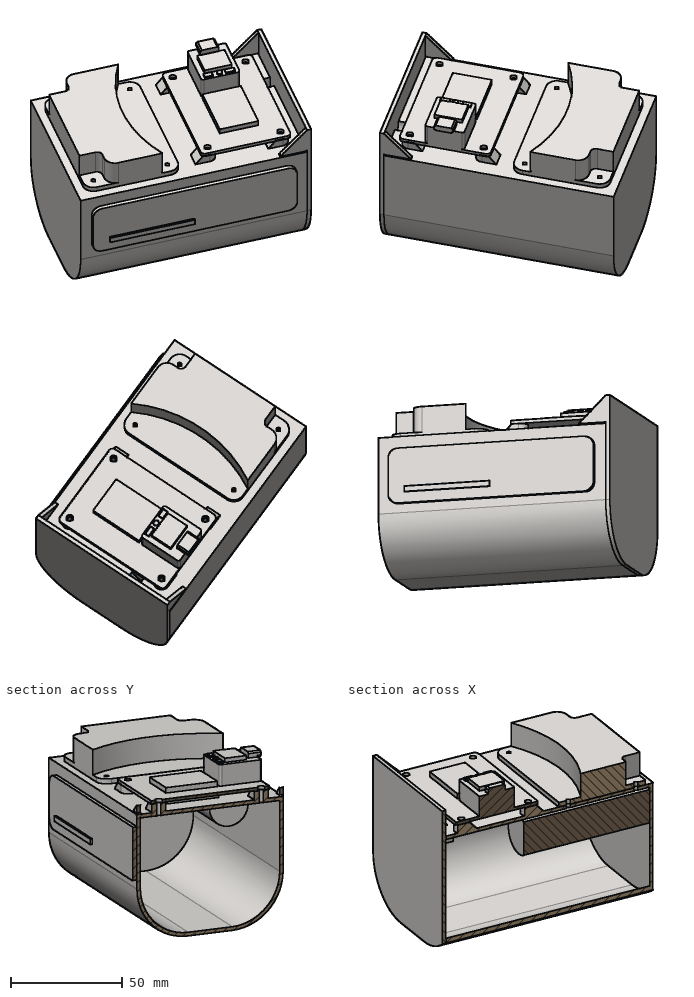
import cadquery as cq
import math


HOUSING_WIDTH = 72.0
HOUSING_LENGTH = 107.0
HOUSING_HEIGHT = 60.0
BOTTOM_RADIUS = 25.2
WALL = 2.0
SCREW_HOLE_DIAMETER = 1.9

CHANNEL_RADIUS = 6.1
CHANNEL_INSET = 18.5
CHANNEL_LEFT_X = CHANNEL_INSET - HOUSING_WIDTH / 2
CHANNEL_LENGTH = CHANNEL_RADIUS

LID_THICKNESS = WALL
LID_HEIGHT = 73.0
GUSSET_THICKNESS = WALL
GUSSET_RUN = 12.7
GUSSET_GAP = 0.7

BOARD_WIDTH = 58.1
BOARD_DEPTH = 42.4
BOARD_THICKNESS = 1.6
BOARD_CENTER_Y = 80.7
BOARD_CORNER_RADIUS = 2.0
BOARD_HOLE_DIAMETER = 3.0
BOARD_HOLE_SPACING_X = 50.2
BOARD_HOLE_SPACING_Y = 34.4
POST_HEIGHT = 4.0
POST_RADIUS = 3.5
POST_FOOT_REACH = 6.9
POST_TOP_REACH = 3.3
BOARD_Z = HOUSING_HEIGHT + POST_HEIGHT
BOARD_TOP_Z = BOARD_Z + BOARD_THICKNESS
BOARD_LEFT_X = -BOARD_WIDTH / 2

MODULE_LENGTH = 20.8
MODULE_DEPTH = 18.2
MODULE_HEIGHT = 10.0
MODULE_CORNER_RADIUS = 1.1
MODULE_TOP_Z = BOARD_TOP_Z + MODULE_HEIGHT
SOCKET_LENGTH = 6.2
SOCKET_WIDTH = 8.8
SOCKET_HEIGHT = 2.8
SOCKET_CHAMFER = 0.8
SOCKET_OVERHANG = 1.6
CHIP_LENGTH = 10.6
CHIP_WIDTH = 12.9
CHIP_HEIGHT = 2.0
CHIP_OFFSET_X = 6.4
SMALL_PART_HEIGHT = 0.8
SMALL_PART_RIGHT_X = 20.0
REAR_SMALL_PART_SIZE = (2.1, 4.4)
REAR_SMALL_PART_OFFSET_Y = 4.9
FRONT_SMALL_PART_SIZE = (2.4, 3.9)
FRONT_SMALL_PART_OFFSET_Y = -5.3
BUTTON_DIAMETER = 2.5
BUTTON_OFFSET_X = 18.8
DISPLAY_LENGTH = 25.2
DISPLAY_HEIGHT = 2.5
DISPLAY_OFFSET_X = 21.9
HEADER_LENGTH = DISPLAY_LENGTH
HEADER_DEPTH = 21.1
HEADER_HEIGHT = 3.0

COVER_WIDTH = 63.8
COVER_DEPTH = 44.8
COVER_HEIGHT = 14.0
COVER_FRONT_Y = 4.0
COVER_BASE_THICKNESS = 2.3
COVER_CORNER_RADIUS = 5.0
COVER_HOLE_INSET = 4.9
COVER_NOTCH = 10.0
NOTCH_INNER_RADIUS = 2.5
COVER_SIDE_DEPTH = 36.0
COVER_MIDDLE_DEPTH = 27.6

PLATE_LENGTH = 96.5
PLATE_HEIGHT = 25.2
PLATE_THICKNESS = 2.0
PLATE_FRONT_Y = 5.2
PLATE_BOTTOM_Z = 29.2
PLATE_CORNER_RADIUS = 4.4
STRIP_LENGTH = 40.1
STRIP_HEIGHT = 2.5
STRIP_THICKNESS = 1.0
STRIP_FRONT_Y = 13.1
STRIP_BOTTOM_Z = 34.1

CELL_DIAMETER = 19.0
CELL_LENGTH = 65.0
CELL_LEFT_GAP = 1.7


def block(x_min, y_min, z_min, length, depth, height):
    """Box given by its lowest corner and its sizes along X, Y and Z."""
    return cq.Workplane("XY").box(length, depth, height, centered=False).translate((x_min, y_min, z_min))


def hole_grid(center_y, spacing_x, spacing_y):
    """Corners of a rectangle that is centred on X = 0."""
    return [
        (side_x * spacing_x / 2, center_y + side_y * spacing_y / 2)
        for side_x in (-1, 1)
        for side_y in (-1, 1)
    ]


BOARD_HOLES = hole_grid(BOARD_CENTER_Y, BOARD_HOLE_SPACING_X, BOARD_HOLE_SPACING_Y)
COVER_CENTER_Y = COVER_FRONT_Y + COVER_DEPTH / 2
COVER_HOLES = hole_grid(
    COVER_CENTER_Y, COVER_WIDTH - 2 * COVER_HOLE_INSET, COVER_DEPTH - 2 * COVER_HOLE_INSET
)


def vertical_cylinders(points, diameter, z_min, height):
    """Upright cylinders of one size, one at each point."""
    return cq.Workplane("XY").workplane(offset=z_min).pushPoints(points).circle(diameter / 2).extrude(height)


def rounded_bottom_body(width, z_min, z_max, radius, y_min, length):
    """Box along Y whose two lower long edges are rounded."""
    body = block(-width / 2, y_min, z_min, width, length, z_max - z_min)
    return body.edges("|Y and <Z").fillet(radius)


def board_post(x, y):
    """Post with a round rear half and a sloped foot toward the front."""
    round_part = vertical_cylinders([(x, y)], POST_RADIUS * 2, HOUSING_HEIGHT, POST_HEIGHT)
    foot = (
        cq.Workplane("YZ", origin=(x - POST_RADIUS, y, HOUSING_HEIGHT))
        .polyline([(0, 0), (-POST_FOOT_REACH, 0), (-POST_TOP_REACH, POST_HEIGHT), (0, POST_HEIGHT)])
        .close()
        .extrude(2 * POST_RADIUS)
    )
    return round_part.union(foot)


def cable_channel():
    """Quarter cylinder along Y, flat on the left and on top."""
    start = (CHANNEL_LEFT_X, HOUSING_LENGTH, HOUSING_HEIGHT)
    diagonal = CHANNEL_RADIUS * math.sqrt(0.5)
    return (
        cq.Workplane("XZ", origin=start)
        .lineTo(CHANNEL_RADIUS, 0)
        .threePointArc((diagonal, -diagonal), (0, -CHANNEL_RADIUS))
        .close()
        .extrude(CHANNEL_LENGTH)
    )


def make_housing():
    shell = rounded_bottom_body(HOUSING_WIDTH, 0, HOUSING_HEIGHT, BOTTOM_RADIUS, 0, HOUSING_LENGTH)
    cavity = rounded_bottom_body(
        HOUSING_WIDTH - 2 * WALL,
        WALL,
        HOUSING_HEIGHT - WALL,
        BOTTOM_RADIUS - WALL,
        WALL,
        HOUSING_LENGTH - WALL,
    )
    channel_bed = block(
        CHANNEL_LEFT_X - WALL,
        HOUSING_LENGTH - CHANNEL_LENGTH - WALL,
        HOUSING_HEIGHT - CHANNEL_RADIUS - WALL,
        CHANNEL_RADIUS + 2 * WALL,
        CHANNEL_LENGTH + WALL,
        CHANNEL_RADIUS + WALL,
    )
    body = shell.cut(cavity).union(channel_bed).cut(cable_channel())
    for x, y in BOARD_HOLES:
        body = body.union(board_post(x, y))
    screw_holes = vertical_cylinders(
        BOARD_HOLES + COVER_HOLES, SCREW_HOLE_DIAMETER, HOUSING_HEIGHT - WALL, WALL + POST_HEIGHT
    )
    return body.cut(screw_holes)


def make_lid():
    lid = rounded_bottom_body(HOUSING_WIDTH, 0, LID_HEIGHT, BOTTOM_RADIUS, HOUSING_LENGTH, LID_THICKNESS)
    gusset_bottom = HOUSING_HEIGHT + GUSSET_GAP
    for left_x in (-HOUSING_WIDTH / 2, HOUSING_WIDTH / 2 - GUSSET_THICKNESS):
        gusset = (
            cq.Workplane("YZ", origin=(left_x, HOUSING_LENGTH, 0))
            .polyline([(0, gusset_bottom), (-GUSSET_RUN, gusset_bottom), (0, LID_HEIGHT)])
            .close()
            .extrude(GUSSET_THICKNESS)
        )
        lid = lid.union(gusset)
    return lid


def socket():
    """Connector shell with chamfered long edges, square below where it sits on the module."""
    left_x = BOARD_LEFT_X - SOCKET_OVERHANG
    front_y = BOARD_CENTER_Y - SOCKET_WIDTH / 2
    shell = block(left_x, front_y, MODULE_TOP_Z, SOCKET_LENGTH, SOCKET_WIDTH, SOCKET_HEIGHT)
    shell = shell.edges("|X").chamfer(SOCKET_CHAMFER)
    seat = block(
        BOARD_LEFT_X,
        front_y,
        MODULE_TOP_Z,
        SOCKET_LENGTH - SOCKET_OVERHANG,
        SOCKET_WIDTH,
        SOCKET_HEIGHT / 2,
    )
    return shell.union(seat)


def board_part(offset_x, z_min, length, depth, height, offset_y=0):
    """Box on the board, placed by its left edge and by its middle in Y."""
    return block(
        BOARD_LEFT_X + offset_x, BOARD_CENTER_Y + offset_y - depth / 2, z_min, length, depth, height
    )


def small_module_part(size, offset_y):
    length, depth = size
    return board_part(SMALL_PART_RIGHT_X - length, MODULE_TOP_Z, length, depth, SMALL_PART_HEIGHT, offset_y)


def make_controller():
    board = board_part(0, BOARD_Z, BOARD_WIDTH, BOARD_DEPTH, BOARD_THICKNESS)
    board = board.edges("|Z").fillet(BOARD_CORNER_RADIUS)
    board = board.cut(vertical_cylinders(BOARD_HOLES, BOARD_HOLE_DIAMETER, BOARD_Z, BOARD_THICKNESS))

    module = board_part(0, BOARD_TOP_Z, MODULE_LENGTH, MODULE_DEPTH, MODULE_HEIGHT)
    module = module.edges("|Z").fillet(MODULE_CORNER_RADIUS)
    chip = board_part(CHIP_OFFSET_X, MODULE_TOP_Z, CHIP_LENGTH, CHIP_WIDTH, CHIP_HEIGHT)
    rear_part = small_module_part(REAR_SMALL_PART_SIZE, REAR_SMALL_PART_OFFSET_Y)
    front_part = small_module_part(FRONT_SMALL_PART_SIZE, FRONT_SMALL_PART_OFFSET_Y)
    button_center = (BOARD_LEFT_X + BUTTON_OFFSET_X, BOARD_CENTER_Y)
    button = vertical_cylinders([button_center], BUTTON_DIAMETER, MODULE_TOP_Z, SMALL_PART_HEIGHT)

    display = board_part(DISPLAY_OFFSET_X, BOARD_TOP_Z, DISPLAY_LENGTH, MODULE_DEPTH, DISPLAY_HEIGHT)
    header = board_part(
        DISPLAY_OFFSET_X, BOARD_Z - HEADER_HEIGHT, HEADER_LENGTH, HEADER_DEPTH, HEADER_HEIGHT
    )
    for piece in (module, socket(), chip, rear_part, front_part, button, display, header):
        board = board.union(piece)
    return board.clean()


def corner_notch(side):
    """Cut at a front corner of the cover: round inner corner, rounded entry from the side."""
    edge_x = side * COVER_WIDTH / 2
    inner_x = edge_x - side * COVER_NOTCH
    notch_y = COVER_FRONT_Y + COVER_NOTCH
    entry = COVER_CORNER_RADIUS
    entry_mid = COVER_CORNER_RADIUS * (1 - math.sqrt(0.5))
    inner_mid = NOTCH_INNER_RADIUS * (1 - math.sqrt(0.5))
    return (
        cq.Workplane("XY", origin=(0, 0, HOUSING_HEIGHT + COVER_BASE_THICKNESS))
        .moveTo(edge_x, COVER_FRONT_Y)
        .lineTo(edge_x, notch_y + entry)
        .threePointArc((edge_x - side * entry_mid, notch_y + entry_mid), (edge_x - side * entry, notch_y))
        .lineTo(inner_x + side * NOTCH_INNER_RADIUS, notch_y)
        .threePointArc(
            (inner_x + side * inner_mid, notch_y - inner_mid), (inner_x, notch_y - NOTCH_INNER_RADIUS)
        )
        .lineTo(inner_x, COVER_FRONT_Y)
        .close()
        .extrude(COVER_HEIGHT)
    )


def make_cover():
    half_width = COVER_WIDTH / 2
    side_end_y = COVER_FRONT_Y + COVER_SIDE_DEPTH
    middle_end_y = COVER_FRONT_Y + COVER_MIDDLE_DEPTH
    base = block(-half_width, COVER_FRONT_Y, HOUSING_HEIGHT, COVER_WIDTH, COVER_DEPTH, COVER_BASE_THICKNESS)
    base = base.edges("|Z").fillet(COVER_CORNER_RADIUS)
    raised = (
        cq.Workplane("XY", origin=(0, 0, HOUSING_HEIGHT + COVER_BASE_THICKNESS))
        .moveTo(-half_width, COVER_FRONT_Y)
        .lineTo(half_width, COVER_FRONT_Y)
        .lineTo(half_width, side_end_y)
        .threePointArc((0, middle_end_y), (-half_width, side_end_y))
        .close()
        .extrude(COVER_HEIGHT - COVER_BASE_THICKNESS)
    )
    for side in (-1, 1):
        raised = raised.cut(corner_notch(side))
    holes = vertical_cylinders(COVER_HOLES, SCREW_HOLE_DIAMETER, HOUSING_HEIGHT, COVER_BASE_THICKNESS)
    return base.union(raised).cut(holes)


def make_name_plate():
    left_x = HOUSING_WIDTH / 2
    plate = block(left_x, PLATE_FRONT_Y, PLATE_BOTTOM_Z, PLATE_THICKNESS, PLATE_LENGTH, PLATE_HEIGHT)
    plate = plate.edges("|X").fillet(PLATE_CORNER_RADIUS)
    strip = block(
        left_x + PLATE_THICKNESS, STRIP_FRONT_Y, STRIP_BOTTOM_Z, STRIP_THICKNESS, STRIP_LENGTH, STRIP_HEIGHT
    )
    return plate.union(strip)


def make_cell():
    radius = CELL_DIAMETER / 2
    center_x = -HOUSING_WIDTH / 2 + WALL + CELL_LEFT_GAP + radius
    center_z = HOUSING_HEIGHT - WALL - radius
    return cq.Workplane("XZ", origin=(center_x, WALL, center_z)).circle(radius).extrude(-CELL_LENGTH)


housing = make_housing()
lid = make_lid()
controller = make_controller()
cover = make_cover()
name_plate = make_name_plate()
cell = make_cell()

result = cq.Compound.makeCompound(
    [housing.val(), lid.val(), controller.val(), cover.val(), name_plate.val(), cell.val()]
)